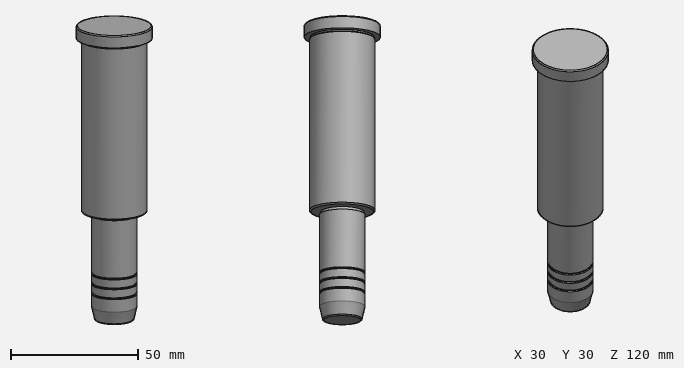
import cadquery as cq

length = 120.0
head_radius = 15.0
head_height = 5.0
head_chamfer = 0.5
body_radius = 13.0
body_bottom = 44.0
body_chamfer = 0.6
pin_radius = 9.0
body_relief_depth = 0.4
pin_relief_depth = 0.6
body_relief_height = 1.0
pin_relief_height = 1.2
nose_height = 5.5
nose_radius = 7.8
nose_chamfer = 0.5
groove_mouth = 0.7
groove_floor = 0.2
groove_depth = 0.5
groove_count = 3
groove_pitch = 12 / 3
lowest_groove = 11.0

head_bottom = length - head_height
body_relief_radius = body_radius - body_relief_depth
pin_relief_radius = pin_radius - pin_relief_depth


def stepped_pin():
    """Revolve the half profile of nose, pin, body and head."""
    profile = (
        cq.Workplane("XZ")
        .lineTo(nose_radius - nose_chamfer, 0)
        .lineTo(nose_radius, nose_chamfer)
        .lineTo(pin_radius, nose_height)
        .lineTo(pin_radius, body_bottom - pin_relief_height)
        .lineTo(pin_relief_radius, body_bottom)
        .lineTo(body_radius - body_chamfer, body_bottom)
        .lineTo(body_radius, body_bottom + body_chamfer)
        .lineTo(body_radius, head_bottom - body_relief_height)
        .lineTo(body_relief_radius, head_bottom - body_relief_height + body_relief_depth)
        .lineTo(body_relief_radius, head_bottom)
        .lineTo(head_radius, head_bottom)
        .lineTo(head_radius, length - head_chamfer)
        .lineTo(head_radius - head_chamfer, length)
        .lineTo(0, length)
        .close()
    )
    return profile.revolve(360, (0, 0, 0), (0, 1, 0))


def groove_ring(height):
    """Ring that cuts a groove with sloped sides in the pin, centred on the given height."""
    half_mouth = groove_mouth / 2
    half_floor = groove_floor / 2
    floor_radius = pin_radius - groove_depth
    outer_radius = pin_radius + groove_depth
    section = (
        cq.Workplane("XZ", origin=(0, 0, height))
        .moveTo(floor_radius, -half_floor)
        .lineTo(floor_radius, half_floor)
        .lineTo(pin_radius, half_mouth)
        .lineTo(outer_radius, half_mouth)
        .lineTo(outer_radius, -half_mouth)
        .lineTo(pin_radius, -half_mouth)
        .close()
    )
    return section.revolve(360, (0, 0, 0), (0, 1, 0))


result = stepped_pin()
for index in range(groove_count):
    result = result.cut(groove_ring(lowest_groove + index * groove_pitch))